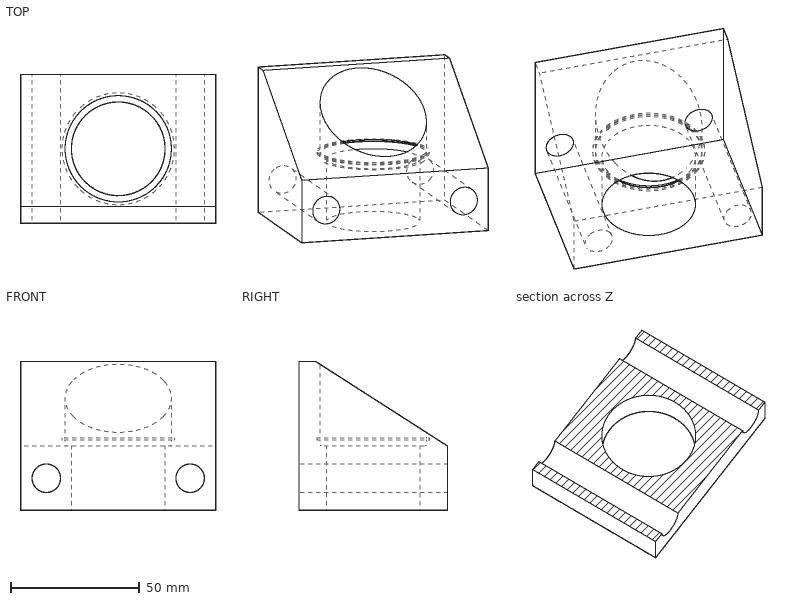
import cadquery as cq

length = 76.0
depth = 58.0
height = 58.0
crest_depth = 6.5
back_height = 25.0

bore_diameter = 41.4
through_diameter = 36.4
seat_floor = 25.0
seat_fillet = 0.9
groove_floor = 27.35
groove_width = 0.75
groove_depth = 1.15

mount_diameter = 11.0
mount_spacing = 56.0
mount_height = 12.5


def wedge_block():
    front = -depth / 2
    back = depth / 2
    profile = [
        (front, 0),
        (back, 0),
        (back, back_height),
        (front + crest_depth, height),
        (front, height),
    ]
    return cq.Workplane("YZ").polyline(profile).close().extrude(length / 2, both=True)


def vertical_cylinder(diameter, bottom, top):
    return cq.Workplane("XY").workplane(offset=bottom).circle(diameter / 2).extrude(top - bottom)


def mounting_holes():
    hole_centres = [(-mount_spacing / 2, mount_height), (mount_spacing / 2, mount_height)]
    return (
        cq.Workplane("XZ")
        .pushPoints(hole_centres)
        .circle(mount_diameter / 2)
        .extrude(depth / 2, both=True)
    )


def stepped_bore():
    """Through hole below a wider bore with a rounded floor corner and a ring groove."""
    through_hole = vertical_cylinder(through_diameter, 0, height)
    bore = vertical_cylinder(bore_diameter, seat_floor, height).faces("<Z").edges().fillet(seat_fillet)
    groove_diameter = bore_diameter + 2 * groove_depth
    groove = vertical_cylinder(groove_diameter, groove_floor, groove_floor + groove_width)
    return bore.union(through_hole).union(groove)


result = wedge_block().cut(stepped_bore()).cut(mounting_holes())